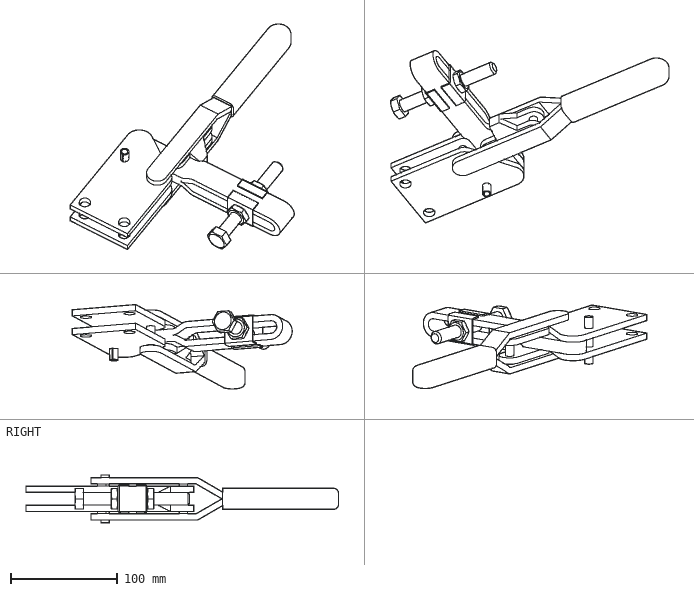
import cadquery as cq
import math


sheet = 6.0
arm_half = sheet
plate_outer = arm_half + sheet
washer_gap = 2.0
leg_inner = plate_outer + washer_gap
leg_outer = leg_inner + sheet
bend_angle = math.radians(30)

base_width = 64.0
base_height = 113.0
base_corner_radius = 13.0
base_slope = math.radians(35.7)
base_right_radius = 10.0
mount_hole_diameter = 10.5
mount_hole_x = (10.0, 54.0)
mount_hole_y = 10.0

pivot_diameter = 8.0
handle_x = 51.5
handle_pivot_y = 71.2
handle_width = 20.0
handle_kink_y = 161.5
handle_bar_top = 282.0

grip_bottom = 185.0
grip_top = 294.0
grip_width = 24.0
grip_thickness = 20.0
grip_fillet = 5.0

link_lower_y = 102.0
link_upper_y = 148.0
link_radius = handle_width / 2
flap_angle = math.radians(27)
flap_bend_end_x = 63.9
flap_bend_inner_radius = 5.0
flap_tip_x = 73.8
flap_bottom = base_height
flap_tip_height = 10.8

arm_width = 25.0
arm_top = 112.8
arm_bottom = arm_top - arm_width
arm_length = 178.0
arm_bend_start_x = 67.3
arm_bend_inner_radius = 4.5

spindle_x = 134.0
spindle_diameter = 12.0
spindle_bottom = 54.0
spindle_length = 100.0
spindle_chamfer = 1.8
hex_flats = 19.0
bolt_head_height = 8.0
nut_height = 6.5
hex_face_radius = 8.4
hex_chamfer_depth = 0.9
saddle_size = 28.0
saddle_sheet = 1.3
saddle_lip = 10.3
saddle_radius = 2.7

stop_x = 13.0
stop_y = 74.5
stop_diameter = 8.0
stop_bore = 5.6
stop_length = 45.0
stop_slot = 1.0

overshoot = 1.0


def both_sides(half):
    """A shape on the +Z side together with its mirror image."""
    return half.union(half.mirror("XY"))


def cylinder_z(x, y, diameter, half_length):
    """A cylinder along Z, centred on the mid-plane."""
    return cq.Workplane("XY").center(x, y).circle(diameter / 2).extrude(half_length, both=True)


def make_base():
    """Two mounting plates joined by the handle pivot pin."""
    slope_dir = (math.sin(base_slope), math.cos(base_slope))
    corner_x = base_corner_radius
    corner_y = base_height - base_corner_radius
    tangent = (corner_x + base_corner_radius * slope_dir[0], corner_y + base_corner_radius * slope_dir[1])
    right_y = tangent[1] - (base_width - tangent[0]) * math.tan(base_slope)
    middle_angle = (math.pi + math.pi / 2 - base_slope) / 2
    arc_middle = (
        corner_x + base_corner_radius * math.cos(middle_angle),
        corner_y + base_corner_radius * math.sin(middle_angle),
    )
    plate = (
        cq.Workplane("XY", origin=(0, 0, arm_half))
        .moveTo(0, 0)
        .lineTo(base_width, 0)
        .lineTo(base_width, right_y)
        .lineTo(*tangent)
        .threePointArc(arc_middle, (0, corner_y))
        .close()
        .extrude(sheet)
    )
    right_corner = cq.selectors.NearestToPointSelector((base_width, right_y, arm_half + sheet / 2))
    plate = plate.edges(right_corner).fillet(base_right_radius)
    plates = both_sides(plate)
    for x in mount_hole_x:
        plates = plates.cut(cylinder_z(x, mount_hole_y, mount_hole_diameter, plate_outer + overshoot))
    plates = plates.cut(cylinder_z(stop_x, stop_y, stop_diameter, plate_outer + overshoot))
    return plates.union(cylinder_z(handle_x, handle_pivot_y, pivot_diameter, leg_inner))


def make_handle():
    """Two legs that converge above a kink into one flat bar."""
    rise = math.tan(bend_angle)
    inner_kink_y = handle_kink_y - sheet * math.tan(bend_angle / 2)
    profile = (
        cq.Workplane("YZ", origin=(handle_x, 0, 0))
        .moveTo(handle_pivot_y - handle_width / 2, leg_inner)
        .lineTo(inner_kink_y, leg_inner)
        .lineTo(inner_kink_y + leg_inner / rise, 0)
        .lineTo(handle_bar_top, 0)
        .lineTo(handle_bar_top, arm_half)
        .lineTo(handle_kink_y + (leg_outer - arm_half) / rise, arm_half)
        .lineTo(handle_kink_y, leg_outer)
        .lineTo(handle_pivot_y - handle_width / 2, leg_outer)
        .close()
        .extrude(handle_width / 2, both=True)
    )
    plan_length = handle_bar_top - handle_pivot_y
    plan = (
        cq.Workplane("XY")
        .center(handle_x, handle_pivot_y + plan_length / 2)
        .rect(handle_width, plan_length)
        .extrude(leg_outer, both=True)
        .union(cylinder_z(handle_x, handle_pivot_y, handle_width, leg_outer))
    )
    return both_sides(profile).intersect(plan)


def make_grip(handle):
    """A rounded sleeve with a pocket that fits the handle bar."""
    radius = grip_width / 2
    left = handle_x - radius
    right = handle_x + radius
    shoulder = grip_top - radius
    grip = (
        cq.Workplane("XY")
        .moveTo(left, grip_bottom)
        .lineTo(right, grip_bottom)
        .lineTo(right, shoulder)
        .threePointArc((handle_x, grip_top), (left, shoulder))
        .close()
        .extrude(grip_thickness / 2, both=True)
    )
    long_edges = grip.faces("<Z or >Z").edges("not(<Y)")
    return long_edges.fillet(grip_fillet).cut(handle)


def link_body_outline():
    """The round-ended outline of the link plates, as a block from the mid-plane outward."""
    length = link_upper_y - link_lower_y + 2 * link_radius
    return (
        cq.Workplane("XY")
        .center(handle_x, (link_lower_y + link_upper_y) / 2)
        .slot2D(length, 2 * link_radius, 90)
        .extrude(plate_outer)
    )


def make_link():
    """Two round-ended plates with flaps bent to meet at the mid-plane, joined by the upper pivot pin."""
    outer_radius = flap_bend_inner_radius + sheet
    bend_x = flap_bend_end_x - outer_radius * math.sin(flap_angle)
    bend_z = plate_outer - outer_radius
    half = flap_angle / 2

    def on_bend(radius, angle):
        return (bend_x + radius * math.sin(angle), bend_z + radius * math.cos(angle))

    outer_end = on_bend(outer_radius, flap_angle)
    inner_end = on_bend(flap_bend_inner_radius, flap_angle)
    drop = math.tan(flap_angle)
    left = handle_x - link_radius
    profile = (
        cq.Workplane("XZ", origin=(0, flap_bottom, 0))
        .moveTo(left, plate_outer)
        .lineTo(bend_x, plate_outer)
        .threePointArc(on_bend(outer_radius, half), outer_end)
        .lineTo(flap_tip_x, outer_end[1] - (flap_tip_x - outer_end[0]) * drop)
        .lineTo(flap_tip_x, 0)
        .lineTo(inner_end[0] + inner_end[1] / drop, 0)
        .lineTo(*inner_end)
        .threePointArc(on_bend(flap_bend_inner_radius, half), (bend_x, arm_half))
        .lineTo(left, arm_half)
        .close()
        .extrude(-(link_upper_y + link_radius - flap_bottom))
    )
    corner_y = flap_bottom + flap_tip_height
    flap = (
        cq.Workplane("XY")
        .moveTo(handle_x, flap_bottom)
        .lineTo(flap_tip_x, flap_bottom)
        .lineTo(flap_tip_x, corner_y)
        .lineTo(handle_x, corner_y + flap_tip_x - handle_x)
        .close()
        .extrude(plate_outer)
    )
    body_outline = link_body_outline()
    upper_part = profile.intersect(body_outline.union(flap))
    lower_part = body_outline.intersect(
        cq.Workplane("XY", origin=(0, 0, arm_half))
        .center(handle_x, flap_bottom - link_radius)
        .rect(2 * link_radius, 2 * link_radius)
        .extrude(sheet)
    )
    plates = both_sides(upper_part.union(lower_part))
    return plates.union(cylinder_z(handle_x, link_upper_y, pivot_diameter, leg_inner))


def make_arm():
    """A strap folded around the nose into two sides that pinch together toward the round end."""
    inner_radius = arm_bend_inner_radius
    outer_radius = inner_radius + sheet
    sin_bend = math.sin(bend_angle)
    cos_bend = math.cos(bend_angle)
    sin_half = math.sin(bend_angle / 2)
    cos_half = math.cos(bend_angle / 2)
    diagonal = math.sqrt(0.5)
    slope_length = (sheet - (inner_radius + outer_radius) * (1 - cos_bend)) / sin_bend
    first_x = arm_bend_start_x
    first_z = arm_half + inner_radius
    second_x = first_x + (inner_radius + outer_radius) * sin_bend + slope_length * cos_bend
    second_z = plate_outer - outer_radius
    nose_x = arm_length - plate_outer

    def first_bend(radius, s, c):
        return (first_x + radius * s, first_z - radius * c)

    def second_bend(radius, s, c):
        return (second_x - radius * s, second_z + radius * c)

    half_outline = (
        cq.Workplane("XZ", origin=(0, arm_top, 0))
        .moveTo(0, 0)
        .lineTo(0, arm_half)
        .lineTo(first_x, arm_half)
        .threePointArc(
            first_bend(inner_radius, sin_half, cos_half),
            first_bend(inner_radius, sin_bend, cos_bend),
        )
        .lineTo(*second_bend(outer_radius, sin_bend, cos_bend))
        .threePointArc(second_bend(outer_radius, sin_half, cos_half), (second_x, plate_outer))
        .lineTo(nose_x, plate_outer)
        .threePointArc((nose_x + plate_outer * diagonal, plate_outer * diagonal), (arm_length, 0))
        .lineTo(arm_length - sheet, 0)
        .threePointArc((nose_x + arm_half * diagonal, arm_half * diagonal), (nose_x, arm_half))
        .lineTo(second_x, arm_half)
        .threePointArc(
            second_bend(inner_radius, sin_half, cos_half),
            second_bend(inner_radius, sin_bend, cos_bend),
        )
        .lineTo(*first_bend(outer_radius, sin_bend, cos_bend))
        .threePointArc(first_bend(outer_radius, sin_half, cos_half), (first_x, 0))
        .close()
        .extrude(arm_width)
    )
    arm = both_sides(half_outline)
    end_radius = arm_width / 2
    end_outline = (
        cq.Workplane("XY")
        .moveTo(arm_length, arm_bottom)
        .lineTo(arm_length, arm_top)
        .lineTo(end_radius, arm_top)
        .threePointArc((0, arm_top - end_radius), (end_radius, arm_bottom))
        .close()
        .extrude(plate_outer, both=True)
    )
    return arm.intersect(end_outline)


def make_hex(bottom, height, chamfer_top):
    """A hexagon along Y with corners on X, its corners turned down at the bottom and optionally the top."""
    corner_radius = hex_flats / math.sqrt(3)
    top_radius = hex_face_radius if chamfer_top else corner_radius
    hexagon = (
        cq.Workplane("XZ", origin=(spindle_x, bottom, 0))
        .polygon(6, 2 * corner_radius)
        .extrude(-height)
    )
    envelope = (
        cq.Workplane("XY")
        .moveTo(0, 0)
        .lineTo(hex_face_radius, 0)
        .lineTo(corner_radius, hex_chamfer_depth)
        .lineTo(corner_radius, height - hex_chamfer_depth)
        .lineTo(top_radius, height)
        .lineTo(0, height)
        .close()
        .revolve(360, (0, 0, 0), (0, 1, 0))
        .translate((spindle_x, bottom, 0))
    )
    return hexagon.intersect(envelope)


def make_saddle(outer_y, direction):
    """A washer on an arm edge whose lips fold over both sides; direction is +1 for the upper edge."""
    reach = plate_outer + saddle_sheet
    saddle = (
        cq.Workplane("XY")
        .box(saddle_size, saddle_lip, 2 * reach)
        .edges("|X and >Y")
        .fillet(saddle_radius)
        .translate((0, -saddle_lip / 2, 0))
    )
    recess = (
        cq.Workplane("XY")
        .box(saddle_size, saddle_lip, 2 * plate_outer)
        .translate((0, -saddle_lip / 2 - saddle_sheet, 0))
    )
    saddle = saddle.cut(recess)
    if direction < 0:
        saddle = saddle.mirror("XZ")
    return saddle.translate((spindle_x, outer_y, 0))


def make_spindle():
    """A bolt with two nuts and two saddle washers that clamp it to the arm."""
    upper_seat = arm_top + saddle_sheet
    lower_seat = arm_bottom - saddle_sheet
    shaft = (
        cq.Workplane("XZ", origin=(spindle_x, spindle_bottom, 0))
        .circle(spindle_diameter / 2)
        .extrude(-spindle_length)
        .faces(">Y")
        .chamfer(spindle_chamfer)
    )
    head = make_hex(spindle_bottom - bolt_head_height, bolt_head_height, False)
    upper_nut = make_hex(upper_seat, nut_height, True)
    lower_nut = make_hex(lower_seat - nut_height, nut_height, True)
    spindle = shaft.union(head).union(upper_nut).union(lower_nut)
    return spindle.union(make_saddle(upper_seat, 1)).union(make_saddle(lower_seat, -1))


def make_stop_pin():
    """A slotted pin with a bore in each end, through both base plates."""
    half_length = stop_length / 2
    bore_depth = half_length - plate_outer
    pin = cylinder_z(stop_x, stop_y, stop_diameter, half_length)
    bore = (
        cq.Workplane("XY", origin=(stop_x, stop_y, plate_outer))
        .circle(stop_bore / 2)
        .extrude(bore_depth)
    )
    wall = (stop_diameter - stop_bore) / 2
    slot = (
        cq.Workplane("XY")
        .center(stop_x, stop_y - stop_diameter / 2)
        .rect(stop_slot, 2 * wall)
        .extrude(half_length, both=True)
    )
    return pin.cut(both_sides(bore)).cut(slot)


base = make_base()
handle = make_handle()
grip = make_grip(handle)
link = make_link()
arm = make_arm()
spindle = make_spindle()
stop_pin = make_stop_pin()

result = cq.Compound.makeCompound(
    [base.val(), handle.val(), grip.val(), link.val(), arm.val(), spindle.val(), stop_pin.val()]
)